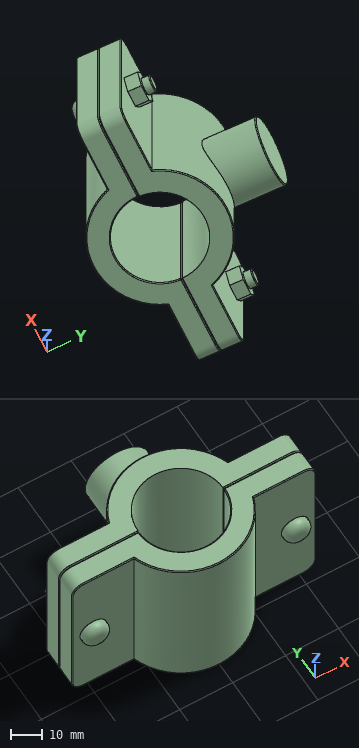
import cadquery as cq
import math

LENGTH = 92.0
DEPTH = 63.9
HEIGHT = 60.0
BARREL_RADIUS = 47.9 / 2
BORE_RADIUS = 32.0 / 2
FLANGE_THICKNESS = 8.0
CORNER_RADIUS = 4.5
EDGE_CHAMFER = 0.4

STUB_DIAMETER = 24.2
STUB_END = DEPTH - BARREL_RADIUS

SCREW_SPACING = 76.0
SCREW_DIAMETER = 6.0
SCREW_OVERHANG = 3.0
HEAD_DIAMETER = 10.0
HEAD_RIM = 1.0
HEAD_FILLET = 3.0
NUT_ACROSS_FLATS = 9.9
NUT_THICKNESS = 4.9


def along_y(start):
    """Sketch plane facing +Y, placed at y = start."""
    return cq.Workplane(cq.Plane((0, start, 0), xDir=(1, 0, 0), normal=(0, 1, 0)))


def upright_cylinder(radius):
    """Cylinder on the bore axis, as tall as the clamp."""
    return cq.Workplane("XY").circle(radius).extrude(HEIGHT / 2, both=True)


def make_half(chamfer_bore_rim):
    """Half barrel with two flanges, on the +Y side of the parting plane y = 0."""
    flanges = (
        along_y(0)
        .rect(LENGTH, HEIGHT)
        .extrude(FLANGE_THICKNESS)
        .edges("|Y")
        .fillet(CORNER_RADIUS)
    )
    positive_side = along_y(0).rect(LENGTH, HEIGHT).extrude(BARREL_RADIUS)
    half_barrel = upright_cylinder(BARREL_RADIUS).intersect(positive_side)
    half = flanges.union(half_barrel).cut(upright_cylinder(BORE_RADIUS))

    margin = EDGE_CHAMFER
    neck_x = math.sqrt(BARREL_RADIUS ** 2 - FLANGE_THICKNESS ** 2)
    inner_corners = cq.selectors.BoxSelector(
        (-neck_x - margin, FLANGE_THICKNESS - margin, -margin),
        (neck_x + margin, FLANGE_THICKNESS + margin, margin),
    )
    edges = half.edges("not |Y").edges(cq.selectors.InverseSelector(inner_corners))
    if not chamfer_bore_rim:
        bore_rim = cq.selectors.BoxSelector(
            (-BORE_RADIUS, margin, -HEIGHT),
            (BORE_RADIUS, BORE_RADIUS, HEIGHT),
        )
        edges = edges.edges(cq.selectors.InverseSelector(bore_rim))
    return edges.chamfer(EDGE_CHAMFER)


def make_stub():
    """Round stub that starts inside the barrel wall, clear of the bore."""
    return (
        along_y(BORE_RADIUS)
        .circle(STUB_DIAMETER / 2)
        .extrude(STUB_END - BORE_RADIUS)
        .faces(">Y")
        .chamfer(EDGE_CHAMFER)
    )


def make_fastener(x):
    """Button-head screw through both flanges, with a hex nut on the rear."""
    head_height = HEAD_RIM + HEAD_FILLET
    nut_corner_diameter = NUT_ACROSS_FLATS / math.cos(math.pi / 6)
    shank_length = 2 * FLANGE_THICKNESS + NUT_THICKNESS + SCREW_OVERHANG
    head = (
        along_y(-FLANGE_THICKNESS - head_height)
        .circle(HEAD_DIAMETER / 2)
        .extrude(head_height)
        .faces("<Y")
        .edges()
        .fillet(HEAD_FILLET)
    )
    shank = (
        along_y(-FLANGE_THICKNESS)
        .circle(SCREW_DIAMETER / 2)
        .extrude(shank_length)
        .faces(">Y")
        .chamfer(EDGE_CHAMFER)
    )
    nut = along_y(FLANGE_THICKNESS).polygon(6, nut_corner_diameter).extrude(NUT_THICKNESS)
    return head.union(shank).union(nut).translate((x, 0, 0))


rear_half = make_half(chamfer_bore_rim=False)
front_half = make_half(chamfer_bore_rim=True).mirror("XZ")
result = rear_half.union(front_half).union(make_stub())
for side in (-1, 1):
    result = result.union(make_fastener(side * SCREW_SPACING / 2))